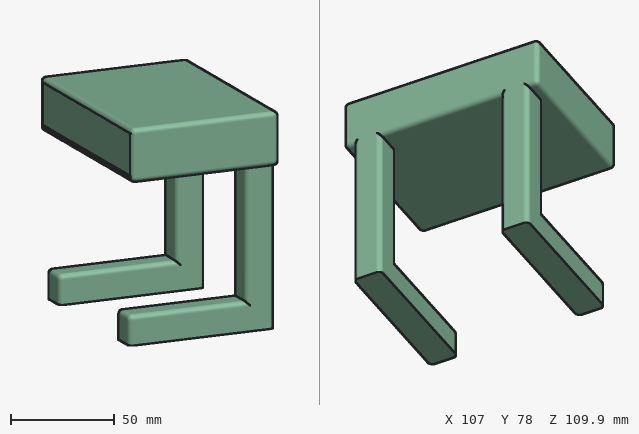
import cadquery as cq

overall_height = 109.9
case_width = 107.0
case_depth = 78.0
case_height = 27.0
edge_radius = 2.5

wall = edge_radius
drawer_gap = 0.49
drawer_edge_radius = 0.49

leg_thickness = 15.0
leg_side_inset = 5.5
foot_front_setback = 1.0

case_bottom = overall_height - case_height
case_center_z = case_bottom + case_height / 2
case_front = -case_depth / 2
case_back = case_depth / 2
opening_width = case_width - 2 * wall
opening_height = case_height - 2 * wall
opening_depth = case_depth - wall
leg_center_x = case_width / 2 - leg_side_inset - leg_thickness / 2
foot_length = case_depth - foot_front_setback


def front_block(width, depth, height):
    """Block centred on the case in X and Z, running back from its front face."""
    return (
        cq.Workplane("XY")
        .box(width, depth, height)
        .translate((0, case_front + depth / 2, case_center_z))
    )


def make_leg(center_x):
    """Upright at the back with a foot running forward, rounded except underneath."""
    foot_front = case_back - foot_length
    upright_front = case_back - leg_thickness
    upright_top = case_bottom + edge_radius
    leg = (
        cq.Workplane("YZ")
        .moveTo(foot_front, 0)
        .lineTo(case_back, 0)
        .lineTo(case_back, upright_top)
        .lineTo(upright_front, upright_top)
        .lineTo(upright_front, leg_thickness)
        .lineTo(foot_front, leg_thickness)
        .close()
        .extrude(leg_thickness / 2, both=True)
    )
    upright_edges = leg.edges("|Z")
    foot_top = cq.selectors.BoxSelector(
        (-leg_thickness, foot_front - edge_radius, leg_thickness - edge_radius),
        (leg_thickness, upright_front, leg_thickness + edge_radius),
    )
    foot_side_edges = leg.edges(foot_top).edges("|Y")
    foot_end_edge = leg.edges(foot_top).edges("|X").edges("<Y")
    rounded_edges = upright_edges.add(foot_side_edges).add(foot_end_edge)
    return rounded_edges.fillet(edge_radius).translate((center_x, 0, 0))


def make_housing():
    """Rounded case with a front opening, joined to its two legs."""
    housing = front_block(case_width, case_depth, case_height).edges().fillet(edge_radius)
    for side in (-1, 1):
        housing = housing.union(make_leg(side * leg_center_x))
    return housing.cut(front_block(opening_width, opening_depth, opening_height))


def make_drawer():
    """Drawer with a rounded front rim, flush with the case front and resting on the back wall."""
    drawer_width = opening_width - 2 * drawer_gap
    drawer_height = opening_height - 2 * drawer_gap
    drawer = front_block(drawer_width, opening_depth, drawer_height)
    return drawer.faces("<Y").edges().fillet(drawer_edge_radius)


housing = make_housing()
drawer = make_drawer()
result = cq.Compound.makeCompound([housing.solids().val(), drawer.val()])